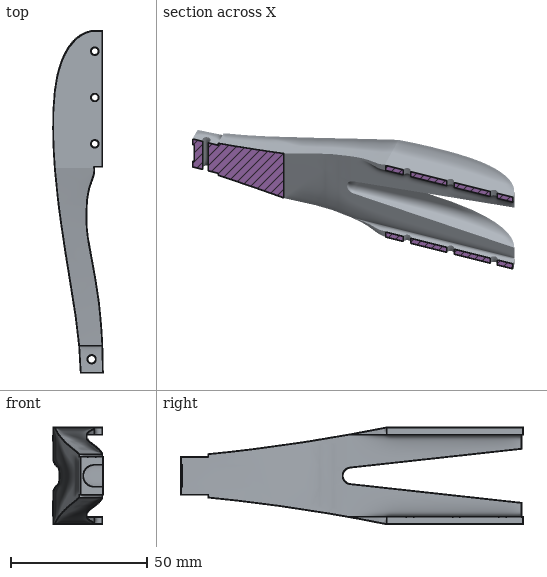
import cadquery as cq
import math


length = 125.6
height = 35.5
half_height = height / 2

side_margin = 1.0

flange_length = 50.0
flange_edge_x = 18.15
flange_thickness = 2.7
flange_start_y = length - flange_length
recess_wall_x = 12.4
recess_start_y = 58.5
flange_hole_diameter = 2.7
flange_hole_x = 15.35
flange_hole_pitch = 17.0
flange_hole_count = 3
first_hole_from_tip = 7.5

block_length = 10.0
block_height = 14.0
block_hole_diameter = 3.0
block_hole_x = 14.2
block_hole_y = block_length / 2
block_front_x = 18.37
block_back_x = 10.15

pocket_radius = 4.0
pocket_depth = 0.5
pocket_center_x = 15.1

taper_start_y = 75.3
taper_middle_y = 44.5
taper_middle_half_height = 12.3
shoulder_half_height = 8.0

slot_end_radius = 3.0
slot_end_y = 59.4
slot_wall_angle = math.radians(6.25)

tip_flat_start_x = 14.4
back_curve = [
    (8.5, 122.7),
    (3.4, 115.0),
    (0.6, 103.0),
    (0.0, 90.0),
    (0.65, 75.0),
    (2.25, 60.0),
    (5.2, 40.0),
    (8.4, 20.0),
    (block_back_x, 0.0),
]
neck_widest_x = 15.2
neck_end_x = 15.1
front_curve = [
    (18.06, 12.0),
    (16.8, 26.5),
    (14.55, 40.0),
    (12.6, 51.0),
    (recess_wall_x, 61.0),
    (13.7, 69.0),
    (neck_widest_x, 74.2),
    (neck_end_x, flange_start_y),
]


def profile_prism():
    """Side profile of the lever, extruded over the full height."""
    outline = (
        cq.Workplane("XY", origin=(0, 0, -half_height))
        .moveTo(block_front_x, 0)
        .spline(front_curve, includeCurrent=True)
        .lineTo(flange_edge_x, flange_start_y)
        .lineTo(flange_edge_x, length)
        .lineTo(tip_flat_start_x, length)
        .spline(back_curve, includeCurrent=True)
        .close()
    )
    return outline.extrude(height)


def height_envelope():
    """Outline in the YZ plane: level prongs, arched taper and the stepped end block."""
    block_half = block_height / 2
    outline = (
        cq.Workplane("YZ", origin=(-side_margin, 0, 0))
        .moveTo(0, -block_half)
        .lineTo(0, block_half)
        .lineTo(block_length, block_half)
        .lineTo(block_length, shoulder_half_height)
        .threePointArc((taper_middle_y, taper_middle_half_height), (taper_start_y, half_height))
        .lineTo(length, half_height)
        .lineTo(length, -half_height)
        .lineTo(taper_start_y, -half_height)
        .threePointArc(
            (taper_middle_y, -taper_middle_half_height),
            (block_length, -shoulder_half_height),
        )
        .lineTo(block_length, -block_half)
        .close()
    )
    return outline.extrude(block_front_x + 2 * side_margin)


def prong_slot():
    """Slot that widens towards the tip and ends in a round tangent to both walls."""
    center_y = slot_end_y + slot_end_radius
    tangent_y = center_y - slot_end_radius * math.sin(slot_wall_angle)
    tangent_z = slot_end_radius * math.cos(slot_wall_angle)
    mouth_z = tangent_z + (length - tangent_y) * math.tan(slot_wall_angle)
    outline = (
        cq.Workplane("YZ", origin=(-side_margin, 0, 0))
        .moveTo(length, mouth_z)
        .lineTo(tangent_y, tangent_z)
        .threePointArc((slot_end_y, 0), (tangent_y, -tangent_z))
        .lineTo(length, -mouth_z)
        .close()
    )
    return outline.extrude(block_front_x + 2 * side_margin)


def flange_recess():
    """Space between the two flanges, open to the front and to the tip."""
    recess = cq.Workplane("XY").box(
        block_front_x + side_margin - recess_wall_x,
        length - recess_start_y,
        height - 2 * flange_thickness,
        centered=(False, False, True),
    )
    return recess.translate((recess_wall_x, recess_start_y, 0))


def vertical_holes():
    """Row of flange holes and the single hole through the end block."""
    flange_points = []
    for index in range(flange_hole_count):
        hole_y = length - first_hole_from_tip - index * flange_hole_pitch
        flange_points.append((flange_hole_x, hole_y))
    flange_holes = (
        cq.Workplane("XY")
        .pushPoints(flange_points)
        .circle(flange_hole_diameter / 2)
        .extrude(half_height, both=True)
    )
    block_hole = (
        cq.Workplane("XY")
        .center(block_hole_x, block_hole_y)
        .circle(block_hole_diameter / 2)
        .extrude(half_height, both=True)
    )
    return flange_holes.union(block_hole)


def end_pocket():
    """Round-ended pocket in the end face, open to the front."""
    open_x = block_front_x + side_margin
    outline = (
        cq.Workplane("XZ")
        .moveTo(open_x, pocket_radius)
        .lineTo(pocket_center_x, pocket_radius)
        .threePointArc((pocket_center_x - pocket_radius, 0), (pocket_center_x, -pocket_radius))
        .lineTo(open_x, -pocket_radius)
        .close()
    )
    return outline.extrude(-pocket_depth)


lever = profile_prism().intersect(height_envelope())
lever = lever.cut(prong_slot()).cut(flange_recess())
result = lever.cut(vertical_holes()).cut(end_pocket())